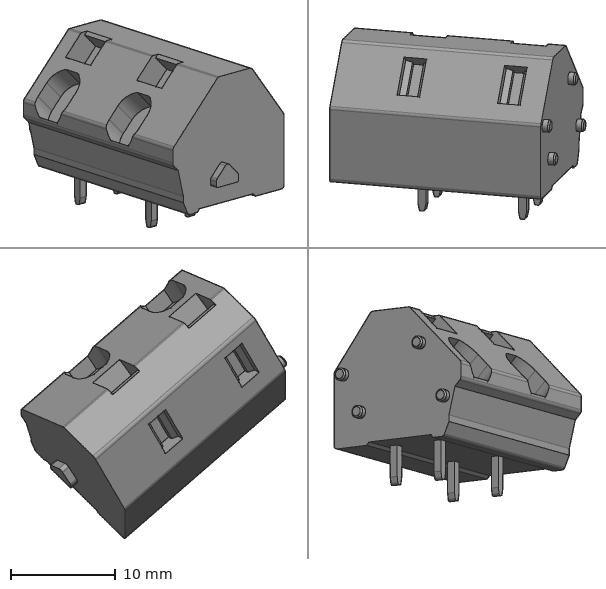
import cadquery as cq
import math


length = 21.0
depth = 14.5
height = 12.98

pole_xs = [3.5, 13.5]

front_slope_start_z = 7.07
front_slope_top_y = height - front_slope_start_z

back_slope_top_y = 10.25
back_slope_end_z = 7.44
back_slope_angle = math.atan2(height - back_slope_end_z, depth - back_slope_top_y)

lip_bottom_z = 5.42
lip_depth = 0.7
heel_y = 1.38
heel_top_z = 2.0
heel_bottom_z = 1.36
foot_front_y = 2.0

recess_height = 0.3
recess_front_y = 3.2
recess_back_y = 10.78

edge_radius = 0.5
ridge_radius = 0.2
foot_radius = 0.35

pocket_width = 3.5
pocket_depth = 2.58
pocket_lip_y = 3.88
pocket_floor_front_y = 6.08
step_depth = 0.54
step_front_y = 6.35

slot_width = 4.12
slot_depth = 2.56
slot_bottom_z = 5.89
slot_top_y = 3.06
slot_top_flat = 1.6
slot_bottom_flat = 2.44

test_width = 2.24
test_throat_width = 1.12
test_front_y = 10.98
test_back_y = 13.36
test_lead_depth = 0.78
test_throat_depth = 1.22
test_depth = 1.74

peg_centres = [(4.65, 9.33), (13.43, 7.11), (11.5, 3.28), (1.91, 3.9)]
peg_diameter = 1.2
peg_length = 0.7
peg_chamfer = 0.15

key_length = 0.8
key_front_y = 4.92
key_back_y = 7.83
key_bottom_z = 2.27
key_shoulder_z = 3.05
key_ridge_radius = 0.37
key_shoulder_radius = 0.4
key_base_radius = 0.2

pin_xs = [3.16, 13.16]
pin_ys = [4.5, 9.5]
pin_thickness = 0.8
pin_bottom_z = -3.5
pin_taper_height = 0.75
pin_taper_inset = 0.16
pin_tip_radius = 0.2

overcut = 2.0

slope_unit = math.sqrt(0.5)


def prism_along_x(outline, start_x, size):
    """Extrude a closed (y, z) outline along X."""
    return cq.Workplane("YZ", origin=(start_x, 0, 0)).polyline(outline).close().extrude(size)


def round_x_edges(body, mid_x, corners):
    """Round the edges along X that pass through the given (y, z, radius) corners."""
    for y, z, radius in corners:
        edge = cq.selectors.NearestToPointSelector((mid_x, y, z))
        body = body.edges("|X").edges(edge).fillet(radius)
    return body


def housing_shell():
    outline = [
        (0, front_slope_start_z),
        (front_slope_top_y, height),
        (back_slope_top_y, height),
        (depth, back_slope_end_z),
        (depth, 0),
        (recess_back_y, 0),
        (recess_back_y - recess_height, recess_height),
        (recess_front_y + recess_height, recess_height),
        (recess_front_y, 0),
        (foot_front_y, 0),
        (heel_y, heel_bottom_z),
        (heel_y, heel_top_z),
        (lip_depth, lip_bottom_z - lip_depth),
        (0, lip_bottom_z),
    ]
    rounded_corners = [
        (0, front_slope_start_z, edge_radius),
        (front_slope_top_y, height, ridge_radius),
        (back_slope_top_y, height, edge_radius),
        (depth, back_slope_end_z, edge_radius),
        (depth, 0, foot_radius),
        (foot_front_y, 0, foot_radius),
        (0, lip_bottom_z, edge_radius),
    ]
    return round_x_edges(prism_along_x(outline, 0, length), length / 2, rounded_corners)


def below_front_slope(y, distance):
    """Height, at the given y, of a plane parallel to the front slope and this far under it."""
    return y + front_slope_start_z - distance / slope_unit


def screwdriver_pocket(pole_x):
    """Pocket with a leaning lower wall, plus the shallow step that cuts through the ridge."""
    step_front_z = below_front_slope(step_front_y, step_depth)
    floor_back_y = step_front_y + (pocket_depth - step_depth) * slope_unit
    step_back_y = step_front_y + overcut
    outline = [
        (pocket_lip_y, below_front_slope(pocket_lip_y, 0)),
        (pocket_floor_front_y, below_front_slope(pocket_floor_front_y, pocket_depth)),
        (floor_back_y, below_front_slope(floor_back_y, pocket_depth)),
        (step_front_y, step_front_z),
        (step_back_y, step_front_z + overcut),
        (pocket_lip_y, step_front_z + overcut),
    ]
    return prism_along_x(outline, pole_x - pocket_width / 2, pocket_width)


def wire_slot(pole_x):
    """Slot sunk square to the front slope: a round-ended slot with both ends cut off flat."""
    slope_plane = cq.Plane(
        origin=(pole_x, 0, front_slope_start_z), xDir=(1, 0, 0), normal=(0, -slope_unit, slope_unit)
    )
    radius = slot_width / 2
    bottom = (slot_bottom_z - front_slope_start_z) * slope_unit
    top = slot_top_y / slope_unit
    bottom_centre = bottom + math.sqrt(radius**2 - (slot_bottom_flat / 2) ** 2)
    top_centre = top - math.sqrt(radius**2 - (slot_top_flat / 2) ** 2)
    floor = cq.Workplane(slope_plane).workplane(offset=-slot_depth)
    full_depth = slot_depth + overcut
    round_ended = (
        floor.center(0, (top_centre + bottom_centre) / 2)
        .slot2D(top_centre - bottom_centre + slot_width, slot_width, 90)
        .extrude(full_depth)
    )
    flat_ended = floor.center(0, (top + bottom) / 2).rect(slot_width, top - bottom).extrude(full_depth)
    return round_ended.intersect(flat_ended)


def test_opening(pole_x):
    """Opening sunk square to the back slope, its sides tapering in to a narrow throat."""
    mid_y = (test_front_y + test_back_y) / 2
    mid_z = height - (mid_y - back_slope_top_y) * math.tan(back_slope_angle)
    down_slope = (0, math.cos(back_slope_angle), -math.sin(back_slope_angle))
    across_plane = cq.Plane(origin=(pole_x, mid_y, mid_z), xDir=(1, 0, 0), normal=down_slope)
    opening_length = (test_back_y - test_front_y) / math.cos(back_slope_angle)
    right_side = [
        (test_width / 2, -overcut),
        (test_width / 2, test_lead_depth),
        (test_throat_width / 2, test_throat_depth),
        (test_throat_width / 2, test_depth),
    ]
    left_side = [(-x, inward) for x, inward in reversed(right_side)]
    section = cq.Workplane(across_plane).polyline(right_side + left_side).close()
    return section.extrude(opening_length / 2, both=True)


def locating_pegs():
    pegs = cq.Workplane("YZ").pushPoints(peg_centres).circle(peg_diameter / 2).extrude(-peg_length)
    return pegs.faces("<X").edges().chamfer(peg_chamfer)


def end_key():
    """House-shaped key with a rounded 45 degree roof."""
    half_width = (key_back_y - key_front_y) / 2
    ridge_y = key_front_y + half_width
    ridge_z = key_shoulder_z + half_width
    outline = [
        (key_front_y, key_bottom_z),
        (key_front_y, key_shoulder_z),
        (ridge_y, ridge_z),
        (key_back_y, key_shoulder_z),
        (key_back_y, key_bottom_z),
    ]
    rounded_corners = [
        (ridge_y, ridge_z, key_ridge_radius),
        (key_front_y, key_shoulder_z, key_shoulder_radius),
        (key_back_y, key_shoulder_z, key_shoulder_radius),
        (key_front_y, key_bottom_z, key_base_radius),
        (key_back_y, key_bottom_z, key_base_radius),
    ]
    key = prism_along_x(outline, length, key_length)
    return round_x_edges(key, length + key_length / 2, rounded_corners)


def make_housing():
    housing = housing_shell()
    for pole_x in pole_xs:
        housing = housing.cut(screwdriver_pocket(pole_x))
        housing = housing.cut(wire_slot(pole_x))
        housing = housing.cut(test_opening(pole_x))
    return housing.union(locating_pegs()).union(end_key())


def make_pin(x, y):
    """Square pin hanging from the base recess, narrowed in X to a rounded tip."""
    half = pin_thickness / 2
    taper_top_z = pin_bottom_z + pin_taper_height
    right_side = [
        (half, recess_height),
        (half, taper_top_z),
        (half - pin_taper_inset, pin_bottom_z),
    ]
    left_side = [(-offset, z) for offset, z in reversed(right_side)]
    pin = (
        cq.Workplane("XZ", origin=(x, y, 0))
        .polyline(right_side + left_side)
        .close()
        .extrude(half, both=True)
    )
    return pin.edges("|Y and <Z").fillet(pin_tip_radius)


housing = make_housing()
pins = [make_pin(x, y) for x in pin_xs for y in pin_ys]

result = cq.Compound.makeCompound([housing.val(), *[pin.val() for pin in pins]])